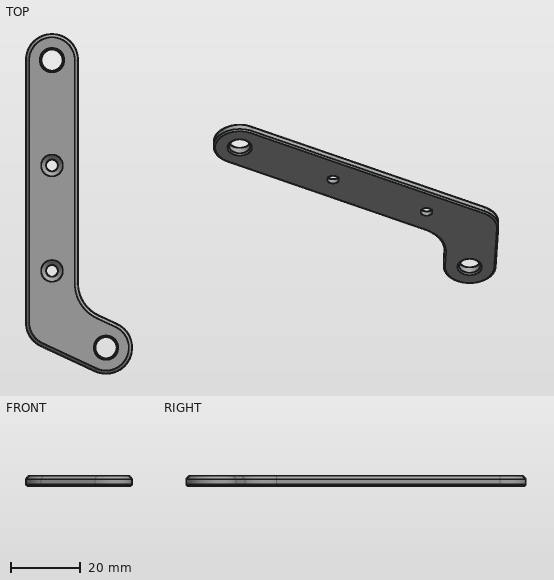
import cadquery as cq
import math

length = 97.2
overall_width = 30.4
thickness = 3.0

bar_width = 15.0
end_radius = bar_width / 2
foot_angle = 25.0
inner_bend_radius = 10.0

top_chamfer = 1.0
bottom_chamfer = 0.5

end_hole_diameter = 6.0
end_hole_chamfer = 0.5
screw_hole_diameter = 3.3
countersink_diameter = 6.2
countersink_angle = 90.0
screw_spacing = 30.1

foot_x = overall_width - bar_width
foot_y = -(length - bar_width)
bend_y = foot_y + foot_x * math.tan(math.radians(foot_angle))
foot_length = foot_x / math.cos(math.radians(foot_angle))


def rounded_bar(centre_distance):
    """Bar along +X from the origin, with a full round at each end."""
    return (
        cq.Workplane("XY")
        .center(centre_distance / 2, 0)
        .slot2D(centre_distance + bar_width, bar_width)
        .extrude(thickness)
    )


arm = rounded_bar(-bend_y).rotate((0, 0, 0), (0, 0, 1), -90)
foot = rounded_bar(foot_length).rotate((0, 0, 0), (0, 0, 1), -foot_angle).translate((0, bend_y, 0))
plate = arm.union(foot)

slope = math.radians(foot_angle)
corner_x = end_radius
corner_y = bend_y + end_radius / math.cos(slope) - corner_x * math.tan(slope)
inner_corner = cq.selectors.NearestToPointSelector((corner_x, corner_y, thickness / 2))
plate = plate.edges("|Z").edges(inner_corner).fillet(inner_bend_radius)

plate = plate.faces(">Z").edges().chamfer(top_chamfer)


def countersunk_holes(body, points, diameter, sink_diameter):
    """Through holes with a conical entry on the top face."""
    return (
        body.faces(">Z")
        .workplane(origin=(0, 0, thickness))
        .pushPoints(points)
        .cskHole(diameter, sink_diameter, countersink_angle)
    )


end_points = [(0, 0), (foot_x, foot_y)]
end_sink_diameter = end_hole_diameter + 2 * end_hole_chamfer
plate = countersunk_holes(plate, end_points, end_hole_diameter, end_sink_diameter)

plate = plate.faces("<Z").edges().chamfer(bottom_chamfer)

screw_points = [(0, -screw_spacing), (0, -2 * screw_spacing)]
result = countersunk_holes(plate, screw_points, screw_hole_diameter, countersink_diameter)